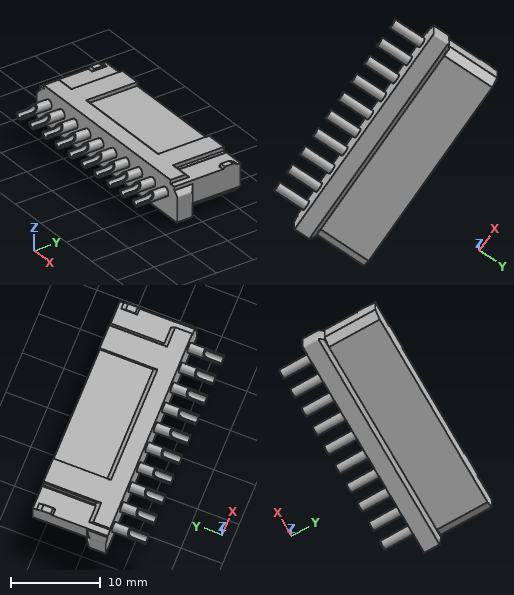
import cadquery as cq
import math

TOTAL_LENGTH = 27.62
TOTAL_HEIGHT = 5.0
BODY_DEPTH = 9.0
HALF_LENGTH = TOTAL_LENGTH / 2

FLANGE_OVERHANG = 0.6
FLANGE_DROP = 0.5
FLANGE_DEPTH = 2.49
FLANGE_HEIGHT = 4.0
FLANGE_BACK_BEVEL = 0.5
FLANGE_ROUND = 0.25

HOUSING_HALF_LENGTH = HALF_LENGTH - FLANGE_OVERHANG
HOUSING_BOTTOM_BEVEL = 1.0

STEP_DEPTH = 0.5
STEP_FLOOR = TOTAL_HEIGHT - STEP_DEPTH
STEP_FRONT = 2.55
POCKET_HALF_LENGTH = 7.05
EAR_INNER_X = 9.97
GROOVE_DEPTH = 0.207
NOTCH_WIDTH = 0.77
NOTCH_INNER_X = HOUSING_HALF_LENGTH - NOTCH_WIDTH

BUMP_HEIGHT = 0.25
BUMP_BACK = 0.47
BUMP_TOP_BACK = 1.02
BUMP_TOP_FRONT = 2.15
BUMP_FRONT = 2.4

PIN_COUNT = 10
PIN_PITCH = 2.55
PIN_LENGTH = 4.0
PIN_RADIUS = 1.2 / 2
PIN_HEIGHT = 3.0
CUP_BORE_RADIUS = 0.8 / 2
CUP_BORE_START = 1.0
CUP_START = 1.8
CUP_CURVE_RADIUS = 0.9


def along_x(points, x_start, x_end):
    """Prism with a (Y, Z) outline, running from x_start to x_end."""
    return cq.Workplane("YZ").workplane(offset=x_start).polyline(points).close().extrude(x_end - x_start)


def along_y(points, y_start, y_end):
    """Prism with an (X, Z) outline, running from y_start to y_end."""
    outline = cq.Workplane("XZ", origin=(0, y_start, 0)).polyline(points).close()
    return outline.extrude(y_start - y_end)


def mirrored_pair(solid):
    """The solid together with its mirror image across the YZ plane."""
    return solid.union(solid.mirror("YZ"))


def make_housing():
    bevel_x = HOUSING_HALF_LENGTH - HOUSING_BOTTOM_BEVEL
    bevel_z = FLANGE_DROP + HOUSING_BOTTOM_BEVEL
    outline = [
        (-bevel_x, FLANGE_DROP),
        (bevel_x, FLANGE_DROP),
        (HOUSING_HALF_LENGTH, bevel_z),
        (HOUSING_HALF_LENGTH, TOTAL_HEIGHT),
        (-HOUSING_HALF_LENGTH, TOTAL_HEIGHT),
        (-HOUSING_HALF_LENGTH, bevel_z),
    ]
    return along_y(outline, 0, BODY_DEPTH)


def make_flange():
    shoulder_z = FLANGE_HEIGHT - FLANGE_OVERHANG
    outline = [
        (-HALF_LENGTH, 0),
        (HALF_LENGTH, 0),
        (HALF_LENGTH, shoulder_z),
        (HOUSING_HALF_LENGTH, FLANGE_HEIGHT),
        (-HOUSING_HALF_LENGTH, FLANGE_HEIGHT),
        (-HALF_LENGTH, shoulder_z),
    ]
    flange = along_y(outline, 0, FLANGE_DEPTH)
    bevel_start = FLANGE_DEPTH - FLANGE_BACK_BEVEL
    end_wedge = (
        cq.Workplane("XY")
        .polyline([(HALF_LENGTH, bevel_start), (HALF_LENGTH, FLANGE_DEPTH), (HOUSING_HALF_LENGTH, FLANGE_DEPTH)])
        .close()
        .extrude(FLANGE_HEIGHT)
    )
    bottom_wedge = along_x(
        [(bevel_start, 0), (FLANGE_DEPTH, 0), (FLANGE_DEPTH, FLANGE_DROP)], -HALF_LENGTH, HALF_LENGTH
    )
    flange = flange.cut(mirrored_pair(end_wedge)).cut(bottom_wedge)
    end_edges = flange.faces("<X or >X").edges("not <Y")
    return end_edges.fillet(FLANGE_ROUND)


def step_cutter(x_start, x_end, depth):
    """Recess from the back face; its front wall slopes down toward the back at 45 degrees."""
    floor_z = TOTAL_HEIGHT - depth
    outline = [
        (STEP_FRONT - STEP_DEPTH, TOTAL_HEIGHT),
        (STEP_FRONT - STEP_DEPTH + depth, floor_z),
        (BODY_DEPTH, floor_z),
        (BODY_DEPTH, TOTAL_HEIGHT),
    ]
    return along_x(outline, x_start, x_end)


def ear_cutter():
    """Lowered ear at the +X end, with its 45 degree V groove and the notch in front of it."""
    ear = step_cutter(EAR_INNER_X, HOUSING_HALF_LENGTH, STEP_DEPTH)
    groove_end_x = EAR_INNER_X + 2 * GROOVE_DEPTH
    groove_outline = [
        (EAR_INNER_X, TOTAL_HEIGHT),
        (EAR_INNER_X, STEP_FLOOR),
        (EAR_INNER_X + GROOVE_DEPTH, STEP_FLOOR - GROOVE_DEPTH),
        (groove_end_x, STEP_FLOOR),
        (groove_end_x, TOTAL_HEIGHT),
    ]
    groove = along_y(groove_outline, 0, BODY_DEPTH)
    groove = groove.intersect(step_cutter(EAR_INNER_X, groove_end_x, STEP_DEPTH + GROOVE_DEPTH))
    notch = cq.Workplane("XY").box(NOTCH_WIDTH, STEP_FRONT, STEP_DEPTH, centered=False)
    notch = notch.translate((NOTCH_INNER_X, 0, STEP_FLOOR))
    return ear.union(groove).union(notch)


def make_bump():
    outline = [
        (BODY_DEPTH - BUMP_FRONT, STEP_FLOOR),
        (BODY_DEPTH - BUMP_TOP_FRONT, STEP_FLOOR + BUMP_HEIGHT),
        (BODY_DEPTH - BUMP_TOP_BACK, STEP_FLOOR + BUMP_HEIGHT),
        (BODY_DEPTH - BUMP_BACK, STEP_FLOOR),
    ]
    return along_x(outline, NOTCH_INNER_X, HOUSING_HALF_LENGTH)


def make_pin():
    """Round pin on the Y axis whose tip is an open, half-round solder cup."""
    pin = cq.Workplane("XZ").circle(PIN_RADIUS).extrude(PIN_LENGTH)
    bore = (
        cq.Workplane("XZ", origin=(0, -CUP_BORE_START, 0))
        .circle(CUP_BORE_RADIUS)
        .extrude(PIN_LENGTH - CUP_BORE_START)
    )
    curve_rise = CUP_CURVE_RADIUS - PIN_RADIUS
    curve_run = math.sqrt(CUP_CURVE_RADIUS**2 - curve_rise**2)
    curve_center_y = -CUP_START - curve_run
    half_angle = math.atan2(curve_run, curve_rise) / 2
    curve_middle = (
        curve_center_y + CUP_CURVE_RADIUS * math.sin(half_angle),
        CUP_CURVE_RADIUS * (1 - math.cos(half_angle)),
    )
    opening = (
        cq.Workplane("YZ")
        .moveTo(-CUP_START, PIN_RADIUS)
        .threePointArc(curve_middle, (curve_center_y, 0))
        .lineTo(-PIN_LENGTH, 0)
        .lineTo(-PIN_LENGTH, PIN_RADIUS)
        .close()
        .extrude(PIN_RADIUS, both=True)
    )
    return pin.cut(bore).cut(opening)


body = make_housing().union(make_flange())
body = body.cut(step_cutter(-POCKET_HALF_LENGTH, POCKET_HALF_LENGTH, STEP_DEPTH))
body = body.cut(mirrored_pair(ear_cutter()))
body = body.union(mirrored_pair(make_bump()))

pin = make_pin()
for index in range(PIN_COUNT):
    pin_x = (index - (PIN_COUNT - 1) / 2) * PIN_PITCH
    body = body.union(pin.translate((pin_x, 0, PIN_HEIGHT)))

result = body